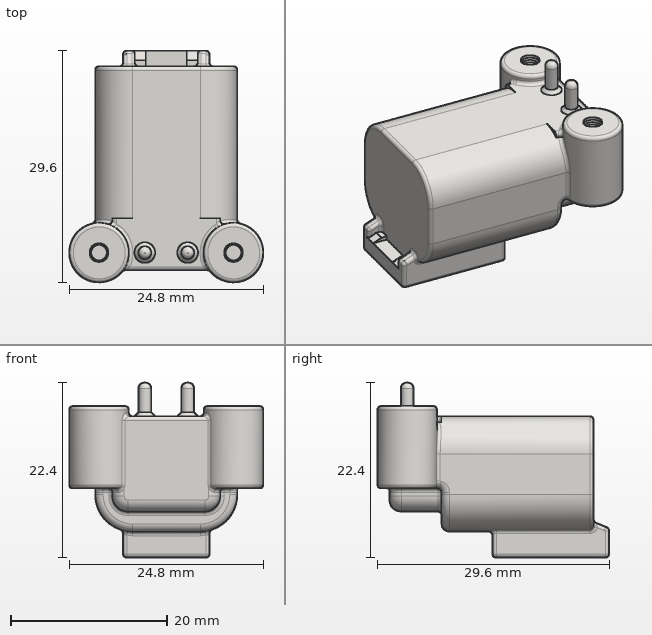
import cadquery as cq
import math


edge_fillet = 0.5
tolerance = 0.001

body_width = 18.2
body_height = 14.76
body_corner_radius = 4.78
body_front_y = 4.38
body_back_y = 23.83
body_front_fillet = 1.0

link_corner_radius = 0.5

block_width = 13.8
block_height = 12.2
block_front_y = -2.28
block_bottom_radius = 2.0
block_front_fillet = 1.5

post_spacing = 17.19
post_diameter = 7.64
post_top_z = 1.3
post_bottom_z = -9.25
post_x = post_spacing / 2
post_blend_radius = 0.48
socket_diameter = 2.4
socket_step = 0.2
socket_step_depth = 0.4
socket_depth = 1.0

pin_spacing = 5.48
pin_diameter = 1.65
pin_top_z = 4.3
pin_tip_fillet = 0.75
pin_collar_size = 0.5

foot_width = 11.1
foot_front_y = 10.87
foot_overhang = 1.98
foot_back_y = body_back_y + foot_overhang
foot_bottom_z = -18.1
foot_back_top_z = -14.33
foot_slope_rise = 0.83
foot_root_overlap = 1.0
foot_root_y = body_back_y - foot_root_overlap
foot_root_z = -body_height + foot_root_overlap
arm_width = 1.53
arm_inner_fillet = 0.4
slot_width = foot_width - 2 * arm_width
slot_center_width = 5.24
slot_floor_z = -15.6
shoulder_height = 0.5
shoulder_flat_length = 0.78


def box(x_min, x_max, y_min, y_max, z_min, z_max):
    """Box with the given limits."""
    size = (x_max - x_min, y_max - y_min, z_max - z_min)
    return cq.Workplane("XY").box(*size, centered=False).translate((x_min, y_min, z_min))


def centered_box(width, y_min, y_max, z_min, z_max):
    """Box symmetric about X = 0."""
    return box(-width / 2, width / 2, y_min, y_max, z_min, z_max)


def right_half(shape):
    """Keep the X > 0 half."""
    reach = body_width + post_spacing
    return shape.intersect(box(0, reach, -reach, reach, -reach, reach))


def rounded_bar(y_min, y_max):
    """Bar along Y with the rounded section of the main body."""
    bar = centered_box(body_width, y_min, y_max, -body_height, 0)
    return bar.edges("|Y").fillet(body_corner_radius)


def on_body_front(edge):
    """True for an edge lying in the front plane of the body."""
    bounds = edge.BoundingBox()
    return max(abs(bounds.ymin - body_front_y), abs(bounds.ymax - body_front_y)) < tolerance


def make_half_body():
    """Right half of the body, its upper part running on forward into the post."""
    body = rounded_bar(body_front_y, body_back_y)
    body = body.faces(">Y").edges().fillet(edge_fillet)
    link_back_y = body_front_y + body_front_fillet
    link_limits = centered_box(body_width, 0, link_back_y, post_bottom_z, 0)
    link = rounded_bar(0, link_back_y).intersect(link_limits)
    half = right_half(body.union(link))

    def is_link_corner(edge):
        return on_body_front(edge) and abs(edge.Center().z - post_bottom_z) < tolerance

    def is_lower_front_arc(edge):
        return on_body_front(edge) and edge.geomType() == "CIRCLE"

    half = half.edges().filter(is_link_corner).fillet(link_corner_radius)
    return half.edges().filter(is_lower_front_arc).fillet(body_front_fillet)


def make_block():
    """Terminal block with rounded lower and front edges."""
    block = centered_box(block_width, block_front_y, body_front_y, -block_height, 0)
    block = block.edges("|Y and <Z").fillet(block_bottom_radius)
    block = block.faces("<Y").edges("not >Z").fillet(block_front_fillet)
    return block.faces(">Z").edges("<Y").fillet(edge_fillet)


def make_post():
    """Right mounting post with rounded rims."""
    post = (
        cq.Workplane("XY", origin=(post_x, 0, post_bottom_z))
        .circle(post_diameter / 2)
        .extrude(post_top_z - post_bottom_z)
    )
    return post.faces("<Z or >Z").edges().fillet(edge_fillet)


def is_post_seam(edge):
    """True for an edge where the side of the post meets the block or the body."""
    for fraction in (0, 0.25, 0.5, 0.75, 1):
        point = edge.positionAt(fraction)
        if abs(math.hypot(point.x - post_x, point.y) - post_diameter / 2) > tolerance:
            return False
    bounds = edge.BoundingBox()
    is_bottom_rim = bounds.zmax < post_bottom_z + edge_fillet + tolerance
    return bounds.xmax < post_x + post_diameter / 4 and bounds.zmax < tolerance and not is_bottom_rim


def is_block_root(edge):
    """True for an edge where the underside and sides of the block meet the body front."""
    bounds = edge.BoundingBox()
    below_post = bounds.zmax < post_bottom_z + tolerance and bounds.zmin > -block_height - tolerance
    return on_body_front(edge) and below_post and tolerance < bounds.xmax < block_width / 2 + tolerance


def make_half_housing():
    """Right half of body, block and post, blended together."""
    half = make_half_body().union(right_half(make_block())).union(make_post())

    def is_blended(edge):
        return is_post_seam(edge) or is_block_root(edge)

    return half.edges().filter(is_blended).fillet(post_blend_radius)


def make_socket(x):
    """Cutter for the stepped socket in the top of a post."""
    outer_radius = socket_diameter / 2
    inner_radius = outer_radius - socket_step
    return (
        cq.Workplane("XZ")
        .moveTo(0, 0)
        .lineTo(outer_radius, 0)
        .lineTo(outer_radius, -socket_step_depth)
        .lineTo(inner_radius, -socket_step_depth - socket_step)
        .lineTo(inner_radius, -socket_depth)
        .lineTo(0, -socket_depth)
        .close()
        .revolve(360, (0, 0), (0, 1))
        .translate((x, 0, post_top_z))
    )


def make_pin(x):
    """Round-tipped pin with its collar, sunk a little into the block."""
    pin_radius = pin_diameter / 2
    sink = pin_radius
    pin = cq.Workplane("XY", origin=(x, 0, -sink)).circle(pin_radius).extrude(pin_top_z + sink)
    pin = pin.faces(">Z").edges().fillet(pin_tip_fillet)
    base = cq.Vector(x, 0, 0)
    collar = cq.Solid.makeCone(pin_radius + pin_collar_size, pin_radius, pin_collar_size, base)
    return pin.union(cq.Workplane(collar))


def make_slot():
    """Cutter for the slot: a flat channel with a raised, back-sloping shoulder at each side."""
    shoulder_z = slot_floor_z + shoulder_height
    channel = centered_box(slot_center_width, body_back_y, foot_back_y, slot_floor_z, 0)
    over_shoulders = (
        cq.Workplane("YZ", origin=(-slot_width / 2, 0, 0))
        .moveTo(body_back_y, shoulder_z)
        .lineTo(body_back_y + shoulder_flat_length, shoulder_z)
        .lineTo(foot_back_y, slot_floor_z)
        .lineTo(foot_back_y, 0)
        .lineTo(body_back_y, 0)
        .close()
        .extrude(slot_width)
    )
    return channel.union(over_shoulders)


def make_foot():
    """Rounded foot with the slot cut between its arms, its root sunk into the body."""
    slope = foot_slope_rise / foot_overhang
    root_top_z = foot_back_top_z + slope * (foot_back_y - foot_root_y)
    foot = (
        cq.Workplane("YZ", origin=(-foot_width / 2, 0, 0))
        .moveTo(foot_front_y, foot_bottom_z)
        .lineTo(foot_back_y, foot_bottom_z)
        .lineTo(foot_back_y, foot_back_top_z)
        .lineTo(foot_root_y, root_top_z)
        .lineTo(foot_root_y, foot_root_z)
        .lineTo(foot_front_y, foot_root_z)
        .close()
        .extrude(foot_width)
    )
    foot = foot.edges("|Z and (<Y or >Y)").fillet(edge_fillet)
    foot = foot.faces("<Z").edges().fillet(edge_fillet)

    def is_slope_rim(edge):
        bounds = edge.BoundingBox()
        reaches_back = bounds.ymax > foot_back_y - edge_fillet - tolerance
        return reaches_back and bounds.zmin > foot_back_top_z - tolerance

    def is_arm_inner_edge(edge):
        bounds = edge.BoundingBox()
        on_slot_side = abs(abs(edge.Center().x) - slot_width / 2) < tolerance
        on_slope = bounds.zmin > foot_back_top_z - tolerance and bounds.ymax > body_back_y + tolerance
        return on_slot_side and on_slope and edge.geomType() == "LINE"

    foot = foot.edges().filter(is_slope_rim).fillet(edge_fillet)
    foot = foot.cut(make_slot())
    return foot.edges().filter(is_arm_inner_edge).fillet(arm_inner_fillet)


def is_foot_root(edge):
    """True for an edge where the front and sides of the foot meet the body."""
    bounds = edge.BoundingBox()
    near_body = -body_height - tolerance < bounds.zmin and bounds.zmax < foot_back_top_z + edge_fillet
    along_foot = foot_front_y - tolerance < bounds.ymin and bounds.ymax < body_back_y + tolerance
    on_side = min(abs(bounds.xmin), abs(bounds.xmax)) > foot_width / 2 - tolerance
    on_front = bounds.ymax < foot_front_y + edge_fillet + tolerance
    return near_body and along_foot and (on_side or on_front)


half_housing = make_half_housing()
result = half_housing.union(half_housing.mirror("YZ"))
result = result.union(make_foot())
result = result.edges().filter(is_foot_root).fillet(edge_fillet)
for side in (-1, 1):
    result = result.cut(make_socket(side * post_x))
    result = result.union(make_pin(side * pin_spacing / 2))